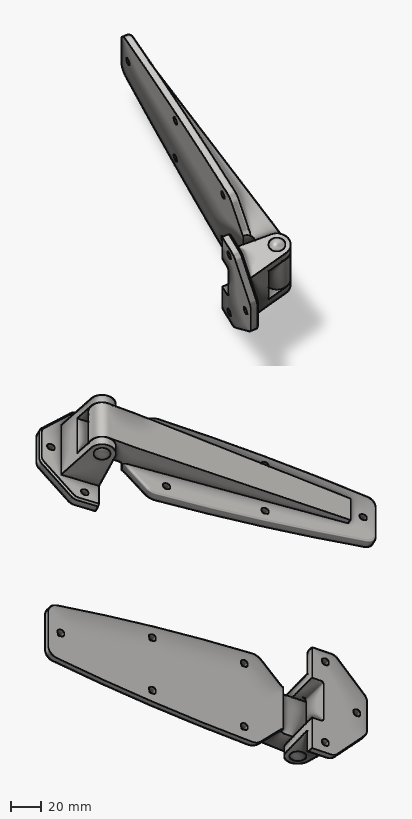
import cadquery as cq
import math


TOTAL_LENGTH = 232.0

PIN_RADIUS = 5.5
DOME_HEIGHT = 2.3
KNUCKLE_RADIUS = 9.0
KNUCKLE_HALF_WIDTH = 15.5

BASE_END_X = 32.0
BASE_START_X = -10.2
BASE_HEIGHT = 80.0
BASE_HALF_HEIGHT = BASE_HEIGHT / 2
BASE_END_HALF_HEIGHT = 14.1
BASE_SHOULDER_X = 7.2
OVERALL_DEPTH = 44.0
BASE_FRONT_Y = KNUCKLE_RADIUS - OVERALL_DEPTH
BASE_THICKNESS = 6.3
BASE_BACK_Y = BASE_FRONT_Y + BASE_THICKNESS
BASE_CORNER_RADIUS = 7.5
BASE_CHAMFER = 1.5
LUG_FOOT_X = 17.0
LUG_OUTER_Z = 22.5
SIDE_CLEARANCE = 0.2
SLOT_HALF_WIDTH = KNUCKLE_HALF_WIDTH + SIDE_CLEARANCE
SLOT_END_X = -1.2
SLOT_CORNER_RADIUS = 2.5
WEB_BACK_Y = -12.3

STRAP_TIP_X = BASE_END_X - TOTAL_LENGTH
STRAP_THICKNESS = 5.8
STRAP_BACK_Y = -KNUCKLE_RADIUS
STRAP_FRONT_Y = STRAP_BACK_Y - STRAP_THICKNESS
STRAP_END_X = -20.0
STRAP_TIP_HALF_HEIGHT = 20.0
STRAP_MIDDLE_X = -120.1
STRAP_MIDDLE_HALF_HEIGHT = 30.0
STRAP_SHOULDER_X = -40.0
STRAP_SHOULDER_HALF_HEIGHT = 35.3
TIP_RADIUS = 8.0
SHOULDER_RADIUS = 10.2
NECK_RADIUS = 8.8
STRAP_EDGE_RADIUS = 2.0
UNDERCUT_RADIUS = 4.6
PICK_MARGIN = 0.2

RIDGE_TIP_X = -180.0
RIDGE_TIP_Y = -5.5
RIDGE_TIP_HALF_WIDTH = 9.7
RIDGE_CORNER_RADIUS = 1.5

HOLE_DIAMETER = 5.3
TIP_HOLE_X = -190.2
MIDDLE_HOLE_Z = 20.9
SHOULDER_HOLE_X = -49.9
SHOULDER_HOLE_Z = 25.0
BASE_SIDE_HOLE_Z = 32.0
BASE_END_HOLE_X = 24.1


def prism_along_y(sketch_plane_y):
    """Sketch plane with local x = X and local y = Z; negative extrusions go toward +Y."""
    return cq.Workplane("XZ", origin=(0, sketch_plane_y, 0))


def knuckle_tangent(x, y, side):
    """Point where a line from (x, y) touches the knuckle circle; side is +1 or -1."""
    distance = math.hypot(x, y)
    angle = math.atan2(y, x) + side * math.acos(KNUCKLE_RADIUS / distance)
    return KNUCKLE_RADIUS * math.cos(angle), KNUCKLE_RADIUS * math.sin(angle)


def box_between(x_range, y_range, z_half):
    """Box spanning the given X and Y ranges, symmetric about Z = 0."""
    size = (x_range[1] - x_range[0], y_range[1] - y_range[0], 2 * z_half)
    centre = (sum(x_range) / 2, sum(y_range) / 2, 0)
    return cq.Workplane("XY").box(*size).translate(centre)


def mirrored_pair(x, z):
    return [(x, z), (x, -z)]


def screw_holes(places, front_y, thickness):
    return prism_along_y(front_y).pushPoints(places).circle(HOLE_DIAMETER / 2).extrude(-thickness)


def pin_bore():
    """Cutter as wide as the pin, running through both lugs and the knuckle."""
    return cq.Workplane("XY").circle(PIN_RADIUS).extrude(LUG_OUTER_Z, both=True)


def strap_plate():
    neck_slope = math.atan2(STRAP_SHOULDER_HALF_HEIGHT - KNUCKLE_HALF_WIDTH, STRAP_END_X - STRAP_SHOULDER_X)
    neck_end_x = STRAP_END_X + NECK_RADIUS * math.tan(neck_slope / 2)
    plate = (
        prism_along_y(STRAP_FRONT_Y)
        .moveTo(STRAP_TIP_X, -STRAP_TIP_HALF_HEIGHT)
        .lineTo(STRAP_TIP_X, STRAP_TIP_HALF_HEIGHT)
        .threePointArc(
            (STRAP_MIDDLE_X, STRAP_MIDDLE_HALF_HEIGHT),
            (STRAP_SHOULDER_X, STRAP_SHOULDER_HALF_HEIGHT),
        )
        .lineTo(STRAP_END_X, KNUCKLE_HALF_WIDTH)
        .lineTo(0, KNUCKLE_HALF_WIDTH)
        .lineTo(0, -KNUCKLE_HALF_WIDTH)
        .lineTo(STRAP_END_X, -KNUCKLE_HALF_WIDTH)
        .lineTo(STRAP_SHOULDER_X, -STRAP_SHOULDER_HALF_HEIGHT)
        .threePointArc(
            (STRAP_MIDDLE_X, -STRAP_MIDDLE_HALF_HEIGHT),
            (STRAP_TIP_X, -STRAP_TIP_HALF_HEIGHT),
        )
        .close()
        .extrude(-STRAP_THICKNESS)
    )
    corners = [
        (STRAP_TIP_X, TIP_RADIUS),
        (STRAP_SHOULDER_X, SHOULDER_RADIUS),
        (STRAP_END_X, NECK_RADIUS),
    ]
    for corner_x, radius in corners:
        nearby = cq.selectors.BoxSelector(
            (corner_x - PICK_MARGIN, STRAP_FRONT_Y, -BASE_HALF_HEIGHT),
            (corner_x + PICK_MARGIN, STRAP_BACK_Y, BASE_HALF_HEIGHT),
        )
        plate = plate.edges("|Y").edges(nearby).fillet(radius)
    body = box_between((STRAP_TIP_X, neck_end_x), (STRAP_FRONT_Y, STRAP_BACK_Y), BASE_HALF_HEIGHT)
    plate = plate.intersect(body)
    return plate.faces(">Y").edges("not >X").fillet(STRAP_EDGE_RADIUS)


def strap_ridge():
    """Wedge that rises from the strap and wraps around the pin as the knuckle."""
    top = knuckle_tangent(RIDGE_TIP_X, RIDGE_TIP_Y, -1)
    side_profile = (
        cq.Workplane("XY")
        .moveTo(RIDGE_TIP_X, STRAP_FRONT_Y)
        .lineTo(RIDGE_TIP_X, RIDGE_TIP_Y)
        .lineTo(*top)
        .threePointArc((KNUCKLE_RADIUS, 0), (0, -KNUCKLE_RADIUS))
        .lineTo(0, STRAP_FRONT_Y)
        .close()
        .extrude(KNUCKLE_HALF_WIDTH, both=True)
    )
    footprint = (
        prism_along_y(STRAP_FRONT_Y)
        .moveTo(RIDGE_TIP_X, -RIDGE_TIP_HALF_WIDTH)
        .lineTo(RIDGE_TIP_X, RIDGE_TIP_HALF_WIDTH)
        .lineTo(STRAP_END_X, KNUCKLE_HALF_WIDTH)
        .lineTo(KNUCKLE_RADIUS, KNUCKLE_HALF_WIDTH)
        .lineTo(KNUCKLE_RADIUS, -KNUCKLE_HALF_WIDTH)
        .lineTo(STRAP_END_X, -KNUCKLE_HALF_WIDTH)
        .close()
        .extrude(STRAP_FRONT_Y - KNUCKLE_RADIUS)
        .edges("|Y and <X")
        .fillet(RIDGE_CORNER_RADIUS)
    )
    return side_profile.intersect(footprint)


def strap_leaf():
    undercut = box_between(
        (STRAP_END_X, KNUCKLE_RADIUS), (2 * STRAP_FRONT_Y, STRAP_BACK_Y), LUG_OUTER_Z
    )
    undercut = undercut.edges("<X and >Y").fillet(UNDERCUT_RADIUS)
    leaf = strap_plate().union(strap_ridge()).cut(undercut).cut(pin_bore())
    hole_places = [
        (TIP_HOLE_X, 0),
        *mirrored_pair(STRAP_MIDDLE_X, MIDDLE_HOLE_Z),
        *mirrored_pair(SHOULDER_HOLE_X, SHOULDER_HOLE_Z),
    ]
    return leaf.cut(screw_holes(hole_places, STRAP_FRONT_Y, KNUCKLE_RADIUS - STRAP_FRONT_Y))


def bracket_base():
    outline = [
        (BASE_START_X, -BASE_HALF_HEIGHT),
        (BASE_START_X, BASE_HALF_HEIGHT),
        (BASE_SHOULDER_X, BASE_HALF_HEIGHT),
        (BASE_END_X, BASE_END_HALF_HEIGHT),
        (BASE_END_X, -BASE_END_HALF_HEIGHT),
        (BASE_SHOULDER_X, -BASE_HALF_HEIGHT),
    ]
    base = prism_along_y(BASE_FRONT_Y).polyline(outline).close().extrude(-BASE_THICKNESS)
    base = base.edges("|Y").edges("not <X").fillet(BASE_CORNER_RADIUS)
    return base.faces(">Y").edges("not <X").chamfer(BASE_CHAMFER)


def bracket_lug_block():
    """Tapered block, rounded about the pin, that the slot splits into two lugs."""
    left = knuckle_tangent(BASE_START_X, BASE_BACK_Y, -1)
    right = knuckle_tangent(LUG_FOOT_X, BASE_BACK_Y, 1)
    return (
        cq.Workplane("XY")
        .moveTo(BASE_START_X, BASE_BACK_Y)
        .lineTo(*left)
        .threePointArc((0, KNUCKLE_RADIUS), right)
        .lineTo(LUG_FOOT_X, BASE_BACK_Y)
        .close()
        .extrude(LUG_OUTER_Z, both=True)
    )


def bracket_slot():
    """Open slot for the knuckle; behind its end wall a web still joins the lugs."""
    slot = box_between((2 * BASE_START_X, SLOT_END_X), (BASE_FRONT_Y, KNUCKLE_RADIUS), SLOT_HALF_WIDTH)
    slot = slot.edges("|Y and >X").fillet(SLOT_CORNER_RADIUS)
    above_web = box_between((BASE_START_X, LUG_FOOT_X), (WEB_BACK_Y, KNUCKLE_RADIUS), SLOT_HALF_WIDTH)
    return slot.union(above_web)


def mounting_bracket():
    bracket = bracket_base().union(bracket_lug_block()).cut(bracket_slot()).cut(pin_bore())
    hole_places = [(BASE_END_HOLE_X, 0), *mirrored_pair(0, BASE_SIDE_HOLE_Z)]
    return bracket.cut(screw_holes(hole_places, BASE_FRONT_Y, BASE_THICKNESS))


def hinge_pin():
    """Round pin with a shallow domed head standing proud of each lug."""
    tip_z = LUG_OUTER_Z + DOME_HEIGHT
    dome_radius = (PIN_RADIUS**2 + DOME_HEIGHT**2) / (2 * DOME_HEIGHT)
    half_angle = math.asin(PIN_RADIUS / dome_radius) / 2
    arc_x = dome_radius * math.sin(half_angle)
    arc_z = tip_z - dome_radius * (1 - math.cos(half_angle))
    return (
        cq.Workplane("XZ")
        .moveTo(0, -tip_z)
        .threePointArc((arc_x, -arc_z), (PIN_RADIUS, -LUG_OUTER_Z))
        .lineTo(PIN_RADIUS, LUG_OUTER_Z)
        .threePointArc((arc_x, arc_z), (0, tip_z))
        .close()
        .revolve(360, (0, 0, 0), (0, 1, 0))
    )


strap = strap_leaf()
bracket = mounting_bracket()
pin = hinge_pin()

result = cq.Compound.makeCompound([strap.val(), bracket.val(), pin.val()])